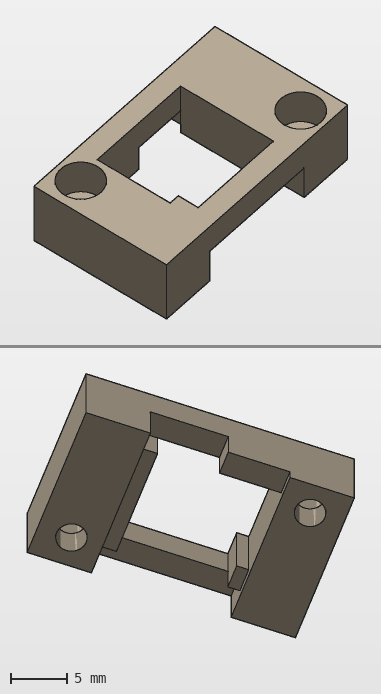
import cadquery as cq

BLOCK_X = 15.24
BLOCK_Y = 25.4
BLOCK_Z = 6.985
X_MAX = BLOCK_X / 2
X_MIN = -X_MAX

CHANNEL_HALF_WIDTH = 6.604
CHANNEL_DEPTH = 1.016

SIDE_WALL = 2.286
WINDOW_X_MAX = X_MAX - SIDE_WALL
WINDOW_X_MIN = -WINDOW_X_MAX
WINDOW_Y_MAX = 5.08
WINDOW_Y_MIN = -CHANNEL_HALF_WIDTH

CORNER_X = 2.286
CORNER_Y = 1.143

NOTCH_TOP_Z = 3.81
LEFT_NOTCH_Y_MIN = -0.762

SCREW_X = 4.826
SCREW_Y = 9.525
HOLE_DIAMETER = 2.794
COUNTERBORE_DIAMETER = 4.572
COUNTERBORE_DEPTH = 3.81


def box_between(x_range, y_range, z_range):
    """Axis-aligned box given by its lower and upper limit on each axis."""
    lower, upper = zip(x_range, y_range, z_range)
    size = [high - low for low, high in zip(lower, upper)]
    return cq.Workplane("XY").box(*size, centered=False).translate(lower)


def make_block():
    return cq.Workplane("XY").box(BLOCK_X, BLOCK_Y, BLOCK_Z, centered=(True, True, False))


def make_window():
    """Rectangular opening, less the block standing in one corner."""
    opening = box_between(
        (WINDOW_X_MIN, WINDOW_X_MAX),
        (WINDOW_Y_MIN, WINDOW_Y_MAX),
        (0, BLOCK_Z),
    )
    corner = box_between(
        (WINDOW_X_MAX - CORNER_X, WINDOW_X_MAX),
        (WINDOW_Y_MIN, WINDOW_Y_MIN + CORNER_Y),
        (0, BLOCK_Z),
    )
    return opening.cut(corner)


def make_channel():
    return box_between(
        (X_MIN, X_MAX),
        (-CHANNEL_HALF_WIDTH, CHANNEL_HALF_WIDTH),
        (0, CHANNEL_DEPTH),
    )


def make_notch(x_range, y_min):
    """Cut below a side wall, from y_min to the +Y side of the channel."""
    return box_between(x_range, (y_min, CHANNEL_HALF_WIDTH), (0, NOTCH_TOP_Z))


def drill_screw_holes(body):
    return (
        body.faces(">Z")
        .workplane(origin=(0, 0, BLOCK_Z))
        .pushPoints([(SCREW_X, SCREW_Y), (-SCREW_X, -SCREW_Y)])
        .cboreHole(HOLE_DIAMETER, COUNTERBORE_DIAMETER, COUNTERBORE_DEPTH)
    )


body = make_block()
body = body.cut(make_channel())
body = body.cut(make_window())
body = body.cut(make_notch((X_MIN, WINDOW_X_MIN), LEFT_NOTCH_Y_MIN))
body = body.cut(make_notch((WINDOW_X_MAX, X_MAX), -CHANNEL_HALF_WIDTH))
result = drill_screw_holes(body)